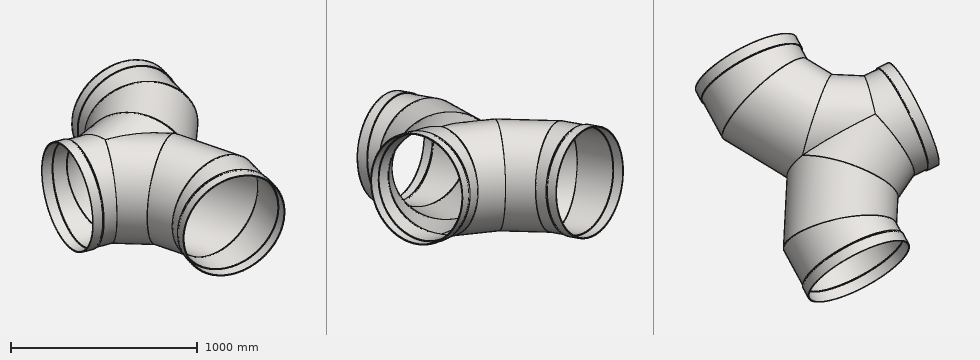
import cadquery as cq
import math


sheet = 6.0
duct_outer_d = 600.0
duct_inner_d = duct_outer_d - 2 * sheet
collar_inner_d = duct_outer_d
collar_outer_d = duct_outer_d + 2 * sheet
collar_length = 66.0
collar_overlap = sheet

bend_radius = 600.0
outlet_duct_end = bend_radius
inlet_duct_end = bend_radius + sheet
mitre_step = 30.0
first_mitre = mitre_step / 2
middle_mitre = first_mitre + mitre_step
last_mitre = middle_mitre + mitre_step
reach = 2 * bend_radius

bend_centre = (-bend_radius, -bend_radius)


def on_mitre(angle, distance):
    """Point on the mitre line at this angle about the left bend centre."""
    turn = math.radians(angle)
    return (
        bend_centre[0] + distance * math.cos(turn),
        bend_centre[1] + distance * math.sin(turn),
    )


def mitre_at_mid_plane(angle):
    """Point where a mitre line reaches the symmetry plane X = 0."""
    return on_mitre(angle, bend_radius / math.cos(math.radians(angle)))


def tube(outer_d, inner_d, start, direction, length):
    """Round tube from a start point, running along a direction in the XY plane."""
    plane = cq.Plane(origin=(*start, 0), xDir=(0, 0, 1), normal=(*direction, 0))
    return cq.Workplane(plane).circle(outer_d / 2).circle(inner_d / 2).extrude(length)


def trimmed(duct, outline):
    """Keep the part of a duct whose XY position lies inside the outline."""
    prism = cq.Workplane("XY").polyline(outline).close().extrude(collar_outer_d, both=True)
    return duct.intersect(prism)


def gore_duct(turn_angle):
    """Long duct tangent to the bend at the given angle from the inlet."""
    turn = math.radians(turn_angle)
    direction = (-math.sin(turn), math.cos(turn))
    tangent_point = on_mitre(turn_angle, bend_radius)
    start = tuple(p - reach * d for p, d in zip(tangent_point, direction))
    return tube(duct_outer_d, duct_inner_d, start, direction, 2 * reach)


def collar(duct_end, direction):
    """Socket collar sleeved over a duct end that lies on an axis through the origin."""
    start = tuple((duct_end - collar_overlap) * d for d in direction)
    return tube(collar_outer_d, collar_inner_d, start, direction, collar_length)


def make_inlet():
    """Inlet duct with a double mitre at its inner end and a collar outside."""
    direction = (0, -1)
    duct = tube(duct_outer_d, duct_inner_d, (0, 0), direction, inlet_duct_end)
    outline = [
        (-bend_radius, -reach),
        bend_centre,
        mitre_at_mid_plane(first_mitre),
        (bend_radius, -bend_radius),
        (bend_radius, -reach),
    ]
    return trimmed(duct, outline).union(collar(inlet_duct_end, direction))


def make_lower_gore():
    """Left gore between the inlet and the upper gore."""
    outline = [bend_centre, mitre_at_mid_plane(first_mitre), mitre_at_mid_plane(middle_mitre)]
    return trimmed(gore_duct(mitre_step), outline)


def make_upper_gore():
    """Left gore between the lower gore and the outlet, cut off at X = 0."""
    outline = [
        bend_centre,
        mitre_at_mid_plane(middle_mitre),
        (0, reach),
        on_mitre(last_mitre, reach),
    ]
    return trimmed(gore_duct(2 * mitre_step), outline)


def make_outlet():
    """Left outlet duct with one mitred end and a collar outside."""
    direction = (-1, 0)
    duct = tube(duct_outer_d, duct_inner_d, (0, 0), direction, outlet_duct_end)
    outline = [bend_centre, on_mitre(last_mitre, reach), (-bend_radius, reach)]
    return trimmed(duct, outline).union(collar(outlet_duct_end, direction))


bodies = [make_inlet().solids().val()]
for make_segment in (make_lower_gore, make_upper_gore, make_outlet):
    left_segment = make_segment().solids().val()
    right_segment = left_segment.mirror("YZ")
    bodies += [left_segment, right_segment]

result = cq.Compound.makeCompound(bodies)